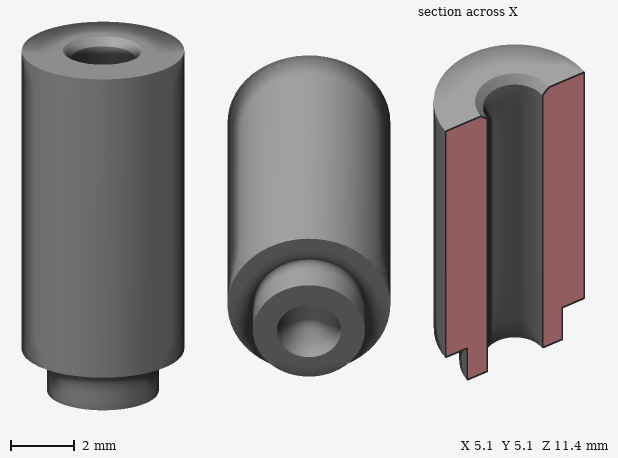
import cadquery as cq

body_diameter = 5.1
body_length = 10.0
shank_diameter = 3.5
shank_length = 1.4
bore_diameter = 2.01
bore_mouth_diameter = 2.5

lead_in = (bore_mouth_diameter - bore_diameter) / 2


def make_spacer():
    """Cylindrical body standing on Z = 0 with a narrower shank below it."""
    body = cq.Workplane("XY").circle(body_diameter / 2).extrude(body_length)
    shank = cq.Workplane("XY").circle(shank_diameter / 2).extrude(-shank_length)
    return body.union(shank)


def cut_bore(spacer):
    """Through bore along Z with a chamfered mouth at the top."""
    bored = spacer.faces(">Z").workplane().hole(bore_diameter)
    bore_mouth = bored.faces(">Z").edges(cq.selectors.RadiusNthSelector(0))
    return bore_mouth.chamfer(lead_in)


result = cut_bore(make_spacer())